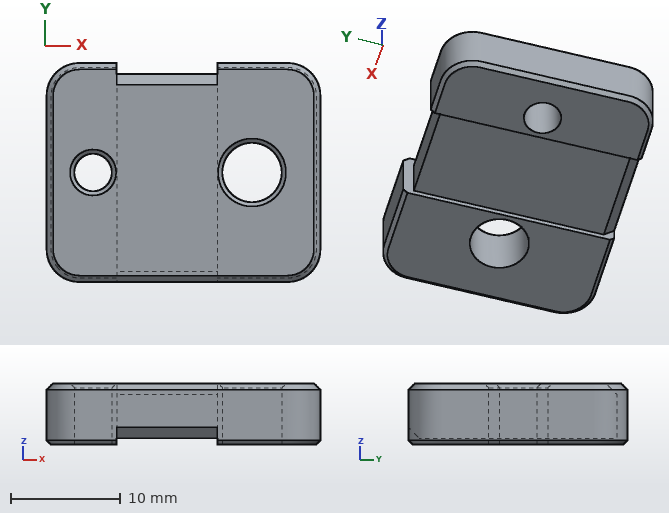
import cadquery as cq

length = 25.0
width = 20.0
height = 5.6
corner_radius = 3.0
top_chamfer = 0.6
bottom_chamfer = 0.4

holes = [(-8.25, 3.4), (6.25, 5.4)]
hole_chamfer = 0.4

seat_width = 9.2
seat_center_x = -1.5
channel_depth = 0.58
notch_depth = 1.0
seat_bevel = 1.0

front_y = -width / 2
back_y = width / 2


def make_plate():
    plate = cq.Workplane("XY").box(length, width, height, centered=(True, True, False))
    plate = plate.edges("|Z").fillet(corner_radius)
    plate = plate.faces(">Z").edges().chamfer(top_chamfer)
    return plate.faces("<Z").edges().chamfer(bottom_chamfer)


def make_seat_cutter():
    """Side profile of the clip seat, extruded along X."""
    notch_y = back_y - notch_depth
    profile = [
        (front_y, 0),
        (front_y, channel_depth + seat_bevel),
        (front_y + seat_bevel, channel_depth),
        (notch_y, channel_depth),
        (notch_y, height - seat_bevel),
        (notch_y - seat_bevel, height),
        (back_y, height),
        (back_y, 0),
    ]
    seat_start = seat_center_x - seat_width / 2
    return cq.Workplane("YZ", origin=(seat_start, 0, 0)).polyline(profile).close().extrude(seat_width)


def make_hole_cutter(x, diameter):
    """Through hole with a conical countersink at the top face."""
    radius = diameter / 2
    profile = [
        (0, 0),
        (radius, 0),
        (radius, height - hole_chamfer),
        (radius + hole_chamfer, height),
        (0, height),
    ]
    cutter = cq.Workplane("XZ").polyline(profile).close().revolve(360, (0, 0, 0), (0, 1, 0))
    return cutter.translate((x, 0, 0))


result = make_plate().cut(make_seat_cutter())
for hole_x, hole_diameter in holes:
    result = result.cut(make_hole_cutter(hole_x, hole_diameter))